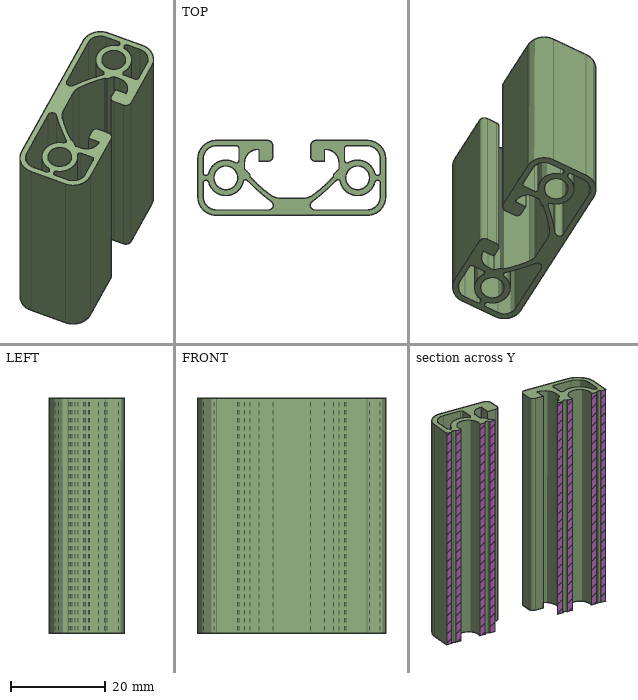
import cadquery as cq
import math

WIDTH = 40.0
DEPTH = 16.0
LENGTH = 50.0
CORNER_RADIUS = 4.0
WALL = 1.2

LEFT = -WIDTH / 2
BACK = DEPTH / 2
INNER_LEFT = LEFT + WALL
INNER_BACK = BACK - WALL
INNER_FRONT = -INNER_BACK
INNER_RADIUS = CORNER_RADIUS - WALL

BOSS_X = LEFT + 6.0
BOSS_RADIUS = 3.8
BORE_RADIUS = 2.5
RIB_HALF = 0.55
SMALL_FILLET = 0.5

MOUTH_HALF = 4.0
LIP_WIDTH = 3.0
LIP_HEIGHT = 4.5
LIP_TOP_FILLET = 1.25
LIP_BOTTOM_FILLET = 1.0
CHANNEL_HALF = 10.0
CHANNEL_ROOF = BACK - 2.0
HOOK_RADIUS = 2.75
CHANNEL_FLOOR = -4.3
FLOOR_FILLET = 3.25
SHOULDER_START_Y = 1.85
SHOULDER_SIZE = 1.15
SHOULDER_STEP = 0.45
WEB_TOP_MIDDLE = (-6.1, -2.4)
FLOOR_HALF = 3.5

BACK_CHAMBER_END = LEFT + 8.75
FRONT_CHAMBER_END = -1.9
WEB_START_ANGLE = 4.0
WEB_BOTTOM_MIDDLE = (-6.6, -3.25)
FRONT_TIP_FILLET = 0.95


def boss_point(degrees):
    """Point on the outside of the left boss, measured from +X."""
    angle = math.radians(degrees)
    return (BOSS_X + BOSS_RADIUS * math.cos(angle), BOSS_RADIUS * math.sin(angle))


def round_corner(body, point, radius):
    """Fillet the lengthwise edge that passes through an XY point."""
    edge = cq.selectors.NearestToPointSelector((*point, LENGTH / 2))
    return body.edges("|Z").edges(edge).fillet(radius)


def make_back_chamber():
    rib_x = BOSS_X - math.sqrt(BOSS_RADIUS**2 - RIB_HALF**2)
    boss_y = math.sqrt(BOSS_RADIUS**2 - (BACK_CHAMBER_END - BOSS_X)**2)
    rib_corner = (INNER_LEFT, RIB_HALF)
    outer_corner = (INNER_LEFT, INNER_BACK)
    end_corner = (BACK_CHAMBER_END, INNER_BACK)
    boss_end = (BACK_CHAMBER_END, boss_y)
    boss_rib = (rib_x, RIB_HALF)
    body = (
        cq.Workplane("XY")
        .moveTo(*rib_corner)
        .lineTo(*outer_corner)
        .lineTo(*end_corner)
        .lineTo(*boss_end)
        .threePointArc(boss_point(100), boss_rib)
        .close()
        .extrude(LENGTH)
    )
    body = round_corner(body, outer_corner, INNER_RADIUS)
    for corner in (rib_corner, end_corner, boss_end, boss_rib):
        body = round_corner(body, corner, SMALL_FILLET)
    return body


def make_front_chamber():
    rib_x = BOSS_X - math.sqrt(BOSS_RADIUS**2 - RIB_HALF**2)
    rib_corner = (INNER_LEFT, -RIB_HALF)
    boss_rib = (rib_x, -RIB_HALF)
    web_start = boss_point(WEB_START_ANGLE)
    tip = (FRONT_CHAMBER_END, INNER_FRONT)
    outer_corner = (INNER_LEFT, INNER_FRONT)
    body = (
        cq.Workplane("XY")
        .moveTo(*rib_corner)
        .lineTo(*boss_rib)
        .threePointArc(boss_point(-90), web_start)
        .threePointArc(WEB_BOTTOM_MIDDLE, tip)
        .lineTo(*outer_corner)
        .close()
        .extrude(LENGTH)
    )
    body = round_corner(body, outer_corner, INNER_RADIUS)
    body = round_corner(body, tip, FRONT_TIP_FILLET)
    for corner in (rib_corner, boss_rib, web_start):
        body = round_corner(body, corner, SMALL_FILLET)
    return body


def make_half_channel():
    lip_inner = -MOUTH_HALF - LIP_WIDTH
    lip_bottom = BACK - LIP_HEIGHT
    shoulder_x = -CHANNEL_HALF + SHOULDER_SIZE
    shoulder_y = SHOULDER_START_Y - SHOULDER_SIZE
    hook_corner = (-CHANNEL_HALF, CHANNEL_ROOF)
    floor_corner = (-FLOOR_HALF, CHANNEL_FLOOR)
    body = (
        cq.Workplane("XY")
        .moveTo(0, BACK)
        .lineTo(-MOUTH_HALF, BACK)
        .lineTo(-MOUTH_HALF, lip_bottom)
        .lineTo(lip_inner, lip_bottom)
        .lineTo(lip_inner, CHANNEL_ROOF)
        .lineTo(*hook_corner)
        .lineTo(-CHANNEL_HALF, SHOULDER_START_Y)
        .lineTo(shoulder_x, shoulder_y)
        .lineTo(shoulder_x, shoulder_y - SHOULDER_STEP)
        .threePointArc(WEB_TOP_MIDDLE, floor_corner)
        .lineTo(0, CHANNEL_FLOOR)
        .close()
        .extrude(LENGTH)
    )
    body = round_corner(body, hook_corner, HOOK_RADIUS)
    return round_corner(body, floor_corner, FLOOR_FILLET)


profile = cq.Workplane("XY").box(WIDTH, DEPTH, LENGTH, centered=(True, True, False))
profile = profile.edges("|Z").fillet(CORNER_RADIUS)

bore = cq.Workplane("XY").center(BOSS_X, 0).circle(BORE_RADIUS).extrude(LENGTH)
for void in (bore, make_back_chamber(), make_front_chamber(), make_half_channel()):
    profile = profile.cut(void).cut(void.mirror("YZ"))

for side in (-1, 1):
    lip_x = side * MOUTH_HALF
    profile = round_corner(profile, (lip_x, BACK), LIP_TOP_FILLET)
    profile = round_corner(profile, (lip_x, BACK - LIP_HEIGHT), LIP_BOTTOM_FILLET)

result = profile